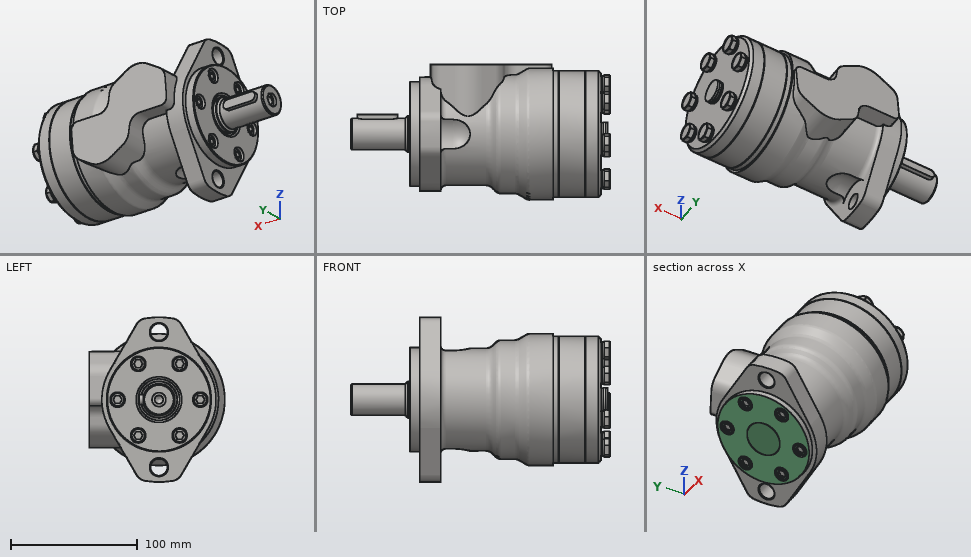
import cadquery as cq
import math


SPIGOT_LENGTH = 8.0
FLANGE_THICKNESS = 16.7
HOUSING_END = 105.1
SPACER_THICKNESS = 4.4
RING_WIDTH = 20.9
COVER_THICKNESS = 12.6
OVERALL_END = 150.0
SHAFT_TIP = -54.2
SPACER_END = HOUSING_END + SPACER_THICKNESS
RING_END = SPACER_END + RING_WIDTH
COVER_END = RING_END + COVER_THICKNESS

SPIGOT_DIAMETER = 82.5
SPIGOT_CHAMFER = 0.7
FLANGE_SIDE_RADIUS = 45.0
FLANGE_LENGTH = 130.0
FLANGE_CORNER_RADIUS = 10.0
FLANGE_SLOPE = math.radians(30)
MOUNT_HOLE_OFFSET = 53.2
MOUNT_HOLE_DIAMETER = 13.35
MOUNT_HOLE_CHAMFER = 0.7
CLEARANCE_RADIUS = 18.4
CLEARANCE_STRAIGHT_END = 26.4

NECK_RADIUS = 40.5
WAIST_RADIUS = 47.0
DRUM_RADIUS = 52.0
FLANGE_FILLET = 4.0
NECK_CORNER = 55.2
NECK_SLOPE = math.radians(45)
NECK_FILLETS = (7.4, 6.0)
WAIST_CORNER = 76.7
WAIST_SLOPE = math.radians(30)
WAIST_FILLETS = (6.6, 4.6)

PORT_FACE_Y = 55.0
BOSS_CENTER_X = 56.2
BOSS_HALF_OUTLINE = [
    (7.9, -5.0, 5.5),
    (10.3, 25.1, 12.5),
    (38.1, 41.2, 20.7),
    (65.1, 25.4, 12.4),
    (68.0, 5.0, 10.0),
]

SCREW_COUNT = 6
SCREW_CIRCLE_RADIUS = 32.6
SCREW_BORE_DIAMETER = 11.9
SCREW_BORE_DEPTH = 6.0
SCREW_HEAD_DIAMETER = 10.0
SCREW_HEAD_SINK = 2.0
SCREW_SOCKET_ACROSS_FLATS = 6.0
SCREW_SOCKET_DEPTH = 3.0

SHAFT_DIAMETER = 25.0
COLLAR_DIAMETER = 29.0
COLLAR_START = -11.3
COLLAR_NOSE_DIAMETER = 28.56
COLLAR_NOSE_LENGTH = 2.3
COLLAR_CHAMFER = 1.7
SHAFT_INNER_END = 40.0
SHAFT_TIP_CHAMFER = 1.0
SEAL_BORE_DIAMETER = 32.6
SEAL_MOUTH_DIAMETER = 36.0
SEAL_MOUTH_DEPTH = 0.8
SEAL_BORE_DEPTH = 1.5
CENTER_BORE_DIAMETER = 11.0
CENTER_BORE_DEPTH = 2.5
CENTER_HOLE_DIAMETER = 6.65
CENTER_HOLE_DEPTH = 16.0
DRILL_POINT_ANGLE = math.radians(118)
KEY_START = -49.2
KEY_LENGTH = 32.0
KEY_WIDTH = 8.0
KEY_HEIGHT = 7.0
KEY_SEAT_DEPTH = 4.0

RING_DIAMETER = 100.0
SEAM_CHAMFER = 0.3
COVER_CHAMFER = 2.4
BOLT_COUNT = 7
BOLT_CIRCLE_RADIUS = 39.5
FIRST_BOLT_ANGLE = 100.0
BOLT_ACROSS_FLATS = 13.0
BOLT_CORNER_DIAMETER = BOLT_ACROSS_FLATS / math.cos(math.radians(30))
BOLT_HEX_ANGLE = 45.0
BOLT_COLLAR_DIAMETER = 11.9
BOLT_COLLAR_HEIGHT = 1.0
BOLT_LAND_DIAMETER = 13.35
BOLT_SEAT_LAND = 1.2
BOLT_END_LAND = 0.6
PLUG_DIAMETERS = (18.0, 19.0, 18.63)
PLUG_STEPS = (1.5, 1.9, 1.8)


def disc(diameter, start, end):
    """Cylinder on the X axis from x = start to x = end."""
    return cq.Workplane("YZ").workplane(offset=start).circle(diameter / 2).extrude(end - start)


def rounded_outline(plane, corners):
    """Closed outline through (u, v, radius) corners, each rounded by a tangent arc."""
    stretches = []
    for i, (u, v, radius) in enumerate(corners):
        corner = cq.Vector(u, v)
        before = (cq.Vector(*corners[i - 1][:2]) - corner).normalized()
        after = (cq.Vector(*corners[(i + 1) % len(corners)][:2]) - corner).normalized()
        half_angle = before.getAngle(after) / 2
        tangent = radius / math.tan(half_angle)
        middle = corner + (before + after).normalized() * (radius / math.sin(half_angle) - radius)
        ends = (corner + before * tangent, middle, corner + after * tangent)
        stretches.append([(point.x, point.y) for point in ends])
    outline = cq.Workplane(plane).moveTo(*stretches[0][0])
    for i, (start, middle, end) in enumerate(stretches):
        if i > 0:
            outline = outline.lineTo(*start)
        if start != end:
            outline = outline.threePointArc(middle, end)
    return outline.close()


def make_flange():
    half_width = FLANGE_SIDE_RADIUS / math.cos(FLANGE_SLOPE)
    half_height = FLANGE_SIDE_RADIUS / math.sin(FLANGE_SLOPE)
    rhombus = [(half_width, 0), (0, half_height), (-half_width, 0), (0, -half_height)]
    flange = cq.Workplane("YZ").polyline(rhombus).close().extrude(FLANGE_THICKNESS)
    flange = flange.edges("|X").edges("<Y or >Y").fillet(FLANGE_SIDE_RADIUS)
    flange = flange.intersect(disc(FLANGE_LENGTH, 0, FLANGE_THICKNESS))
    end_corners = flange.edges("|X").filter(lambda edge: abs(edge.Center().z) > FLANGE_SIDE_RADIUS)
    return end_corners.fillet(FLANGE_CORNER_RADIUS)


def make_barrel():
    neck_rise = WAIST_RADIUS - NECK_RADIUS
    waist_rise = DRUM_RADIUS - WAIST_RADIUS
    flare_start = FLANGE_THICKNESS - FLANGE_FILLET
    profile = [
        (flare_start, 0, 0),
        (flare_start, NECK_RADIUS, 0),
        (NECK_CORNER, NECK_RADIUS, NECK_FILLETS[0]),
        (NECK_CORNER + neck_rise / math.tan(NECK_SLOPE), WAIST_RADIUS, NECK_FILLETS[1]),
        (WAIST_CORNER, WAIST_RADIUS, WAIST_FILLETS[0]),
        (WAIST_CORNER + waist_rise / math.tan(WAIST_SLOPE), DRUM_RADIUS, WAIST_FILLETS[1]),
        (HOUSING_END, DRUM_RADIUS, 0),
        (HOUSING_END, 0, 0),
    ]
    barrel = rounded_outline("XY", profile).revolve(360, (0, 0, 0), (1, 0, 0))
    flare = (
        cq.Workplane("XY")
        .moveTo(FLANGE_THICKNESS, 0)
        .lineTo(FLANGE_THICKNESS, NECK_RADIUS + FLANGE_FILLET)
        .radiusArc((FLANGE_THICKNESS + FLANGE_FILLET, NECK_RADIUS), -FLANGE_FILLET)
        .lineTo(FLANGE_THICKNESS + FLANGE_FILLET, 0)
        .close()
        .revolve(360, (0, 0, 0), (1, 0, 0))
    )
    return barrel.union(flare)


def make_port_boss():
    turned_half = [(2 * BOSS_CENTER_X - x, -z, radius) for x, z, radius in BOSS_HALF_OUTLINE]
    return rounded_outline("XZ", BOSS_HALF_OUTLINE + turned_half).extrude(-PORT_FACE_Y)


def make_bolt_clearance(side):
    """Round-ended groove behind one mounting hole; side is +1 for +Z and -1 for -Z."""
    axis_z = side * MOUNT_HOLE_OFFSET
    length = CLEARANCE_STRAIGHT_END - FLANGE_THICKNESS
    groove = (
        cq.Workplane("YZ", origin=(FLANGE_THICKNESS, 0, axis_z)).circle(CLEARANCE_RADIUS).extrude(length)
    )
    round_end = cq.Workplane("XY", origin=(CLEARANCE_STRAIGHT_END, 0, axis_z)).sphere(CLEARANCE_RADIUS)
    behind_flange = cq.Workplane("XY", origin=(FLANGE_THICKNESS, 0, axis_z)).box(
        FLANGE_LENGTH, FLANGE_LENGTH, FLANGE_LENGTH, centered=(False, True, True)
    )
    return groove.union(round_end).intersect(behind_flange)


def make_mount_hole(side):
    mouth_radius = MOUNT_HOLE_DIAMETER / 2 + MOUNT_HOLE_CHAMFER
    center = cq.Vector(0, 0, side * MOUNT_HOLE_OFFSET)
    along = cq.Vector(1, 0, 0)
    hole = cq.Solid.makeCylinder(MOUNT_HOLE_DIAMETER / 2, FLANGE_THICKNESS, center, along)
    mouth = cq.Solid.makeCone(mouth_radius, MOUNT_HOLE_DIAMETER / 2, MOUNT_HOLE_CHAMFER, center, along)
    return cq.Workplane(hole).union(cq.Workplane(mouth))


def make_screw_recesses():
    """Counterbores around the screw heads, with a hexagon socket in each head."""
    spots = cq.Workplane("YZ", origin=(-SPIGOT_LENGTH, 0, 0)).polarArray(
        SCREW_CIRCLE_RADIUS, 0, 360, SCREW_COUNT
    )
    bores = spots.circle(SCREW_BORE_DIAMETER / 2).extrude(SCREW_BORE_DEPTH)
    head_spots = cq.Workplane("YZ", origin=(SCREW_HEAD_SINK - SPIGOT_LENGTH, 0, 0)).polarArray(
        SCREW_CIRCLE_RADIUS, 0, 360, SCREW_COUNT, rotate=False
    )
    heads = head_spots.circle(SCREW_HEAD_DIAMETER / 2).extrude(SCREW_BORE_DEPTH)
    socket_corners = SCREW_SOCKET_ACROSS_FLATS / math.cos(math.radians(30))
    sockets = head_spots.polygon(6, socket_corners).extrude(SCREW_SOCKET_DEPTH)
    return bores.cut(heads).union(sockets)


def make_seal_recess():
    mouth = cq.Solid.makeCone(
        SEAL_MOUTH_DIAMETER / 2,
        SEAL_BORE_DIAMETER / 2,
        SEAL_MOUTH_DEPTH,
        cq.Vector(-SPIGOT_LENGTH, 0, 0),
        cq.Vector(1, 0, 0),
    )
    bore = disc(SEAL_BORE_DIAMETER, -SPIGOT_LENGTH, SEAL_BORE_DEPTH - SPIGOT_LENGTH)
    return bore.union(cq.Workplane(mouth))


def make_housing():
    spigot = disc(SPIGOT_DIAMETER, -SPIGOT_LENGTH, 0).faces("<X").edges().chamfer(SPIGOT_CHAMFER)
    housing = make_barrel().union(make_port_boss())
    for side in (1, -1):
        housing = housing.cut(make_bolt_clearance(side))
    housing = housing.union(make_flange()).union(spigot)
    for side in (1, -1):
        housing = housing.cut(make_mount_hole(side))
    shaft_bore = disc(COLLAR_DIAMETER, -SPIGOT_LENGTH, SHAFT_INNER_END)
    return housing.cut(make_screw_recesses()).cut(make_seal_recess()).cut(shaft_bore)


def make_key():
    """Parallel key with round ends, seated in the +Y side of the shaft."""
    seat_y = SHAFT_DIAMETER / 2 - KEY_SEAT_DEPTH
    return (
        cq.Workplane("XZ", origin=(KEY_START + KEY_LENGTH / 2, seat_y, 0))
        .slot2D(KEY_LENGTH, KEY_WIDTH)
        .extrude(-KEY_HEIGHT)
    )


def make_center_hole():
    """Counterbored hole with a drill point in the shaft end."""
    hole_end = SHAFT_TIP + CENTER_HOLE_DEPTH
    point_length = CENTER_HOLE_DIAMETER / 2 / math.tan(DRILL_POINT_ANGLE / 2)
    profile = [
        (SHAFT_TIP, 0),
        (SHAFT_TIP, CENTER_BORE_DIAMETER / 2),
        (SHAFT_TIP + CENTER_BORE_DEPTH, CENTER_BORE_DIAMETER / 2),
        (SHAFT_TIP + CENTER_BORE_DEPTH, CENTER_HOLE_DIAMETER / 2),
        (hole_end, CENTER_HOLE_DIAMETER / 2),
        (hole_end + point_length, 0),
    ]
    return cq.Workplane("XY").polyline(profile).close().revolve(360, (0, 0, 0), (1, 0, 0))


def make_shaft(key):
    journal = disc(SHAFT_DIAMETER, SHAFT_TIP, COLLAR_START).faces("<X").edges().chamfer(SHAFT_TIP_CHAMFER)
    nose_end = COLLAR_START + COLLAR_NOSE_LENGTH
    nose = disc(COLLAR_NOSE_DIAMETER, COLLAR_START, nose_end).faces("<X").edges().chamfer(COLLAR_CHAMFER)
    collar = disc(COLLAR_DIAMETER, nose_end, SHAFT_INNER_END)
    return journal.union(nose).union(collar).cut(make_center_hole()).cut(key)


def make_spacer_plate():
    plate = disc(RING_DIAMETER, HOUSING_END, SPACER_END)
    return plate.faces(">X").edges().chamfer(SEAM_CHAMFER)


def make_gerotor_ring():
    return disc(RING_DIAMETER, SPACER_END, RING_END).faces("<X or >X").edges().chamfer(SEAM_CHAMFER)


def make_cover_bolt(y, z):
    """Bolt head: a round collar, a round land, a hexagon and a thin round land on top."""
    collar_end = COVER_END + BOLT_COLLAR_HEIGHT
    hexagon_start = collar_end + BOLT_SEAT_LAND
    hexagon_end = OVERALL_END - BOLT_END_LAND
    collar = cq.Workplane("YZ", origin=(COVER_END, y, z)).circle(BOLT_COLLAR_DIAMETER / 2)
    seat_land = cq.Workplane("YZ", origin=(collar_end, y, z)).circle(BOLT_LAND_DIAMETER / 2)
    end_land = cq.Workplane("YZ", origin=(hexagon_end, y, z)).circle(BOLT_LAND_DIAMETER / 2)
    hexagon = (
        cq.Workplane("YZ", origin=(hexagon_start, y, z))
        .transformed(rotate=(0, 0, BOLT_HEX_ANGLE))
        .polygon(6, BOLT_CORNER_DIAMETER)
        .extrude(hexagon_end - hexagon_start)
    )
    head = hexagon.union(seat_land.extrude(BOLT_SEAT_LAND)).union(end_land.extrude(BOLT_END_LAND))
    return head.union(collar.extrude(BOLT_COLLAR_HEIGHT))


def make_plug():
    start = COVER_END
    plug = None
    for diameter, length in zip(PLUG_DIAMETERS, PLUG_STEPS):
        step = disc(diameter, start, start + length)
        plug = step if plug is None else plug.union(step)
        start += length
    return plug


def make_end_cover():
    cover = disc(RING_DIAMETER, RING_END, COVER_END)
    cover = cover.faces(">X").edges().chamfer(COVER_CHAMFER)
    cover = cover.faces("<X").edges().chamfer(SEAM_CHAMFER)
    for i in range(BOLT_COUNT):
        angle = math.radians(FIRST_BOLT_ANGLE + i * 360 / BOLT_COUNT)
        y = BOLT_CIRCLE_RADIUS * math.cos(angle)
        z = BOLT_CIRCLE_RADIUS * math.sin(angle)
        cover = cover.union(make_cover_bolt(y, z))
    return cover.union(make_plug())


housing = make_housing()
spacer_plate = make_spacer_plate()
gerotor_ring = make_gerotor_ring()
end_cover = make_end_cover()
key = make_key()
shaft = make_shaft(key)

result = cq.Compound.makeCompound(
    [body.val() for body in (housing, spacer_plate, gerotor_ring, end_cover, shaft, key)]
)